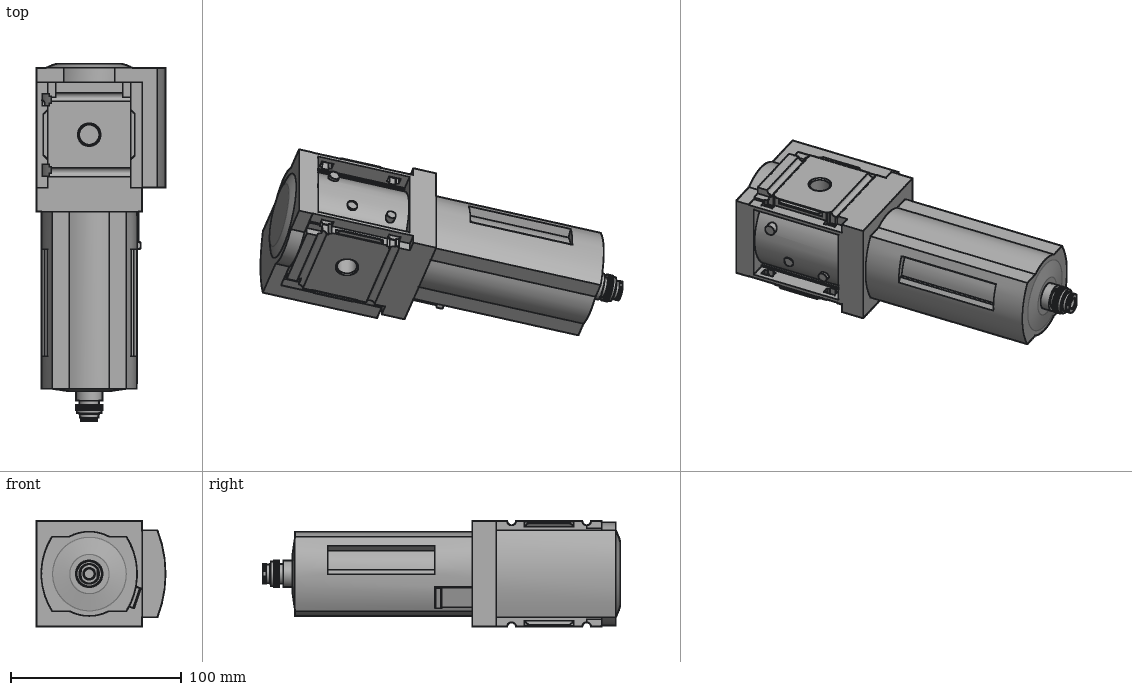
import cadquery as cq
import math


half_width = 31.0
cover_half_height = 25.5
strip_front = 14.0
block_rear = 75.8
head_rear = 84.2
block_half_width = 24.3
strip_step = 0.2

cover_side_edge = 40.0
cover_side_max = 44.8

rib_half_width = 14.9
rib_top = 30.4
dome_radius = 25.3
dome_top_radius = 18.8
dome_height = 2.5
dome_bulge = 0.6

groove_radius = 2.5
groove_places = (23.0, 67.0)
notch_floor = 26.5
notch_half_width = 19.7

clip_slot_outer = 27.6
clip_slot_inner = 23.5
clip_neck_inner = 22.2
clip_slot_length = 7.1
clip_neck_length = 4.0
clip_slot_places = (24.3, 65.5)

lip_reach = 2.5
lip_root = 27.5
lip_edge = 29.7
lip_top = 30.4
lip_cove_across = 0.45
lip_cove_up = 0.55
lip_middle = 45.0
lip_length = 29.0

port_diameter = 11.7
port_chamfer = 0.8
port_depth = 16.7

window_front = 16.3
window_rear = 72.5
window_half_height = 23.0
inner_wall_half_height = 21.0
inner_wall_crown = 29.7
inner_wall_edge = 20.5
wall_ledge_height = 22.5
wall_ledge_reach = 0.8
left_pins = (
    (6.0, 62.2, 11.0, 30.4),
    (6.0, 50.7, -8.5, 28.5),
    (5.5, 27.2, -11.0, 30.4),
)

bowl_length = 103.8
bowl_side = 28.0
bowl_corner_x = 21.8
bowl_flat = 21.8
bowl_barrel_radius = 24.7

sight_front = 84.5
sight_rear = 22.0
sight_floor_radius = 24.3
sight_top = 16.3
sight_floor_top = 13.5
sight_ledge = 2.3
sight_ledge_x = 26.0
sight_bottom = -0.2
sight_overrun = 2.0

slide_angle = -18.7
slide_low = -10.7
slide_high = 1.7
slide_base = 27.2
slide_plate_top = 30.0
slide_bar_top = 31.5
slide_plate_length = 17.8
slide_bar_length = 4.2
slide_bar_chamfer = 0.6

end_cone_radius = 21.5
end_flat_radius = 11.5
end_face = 105.3
stem_steps = (
    (7.85, 110.8),
    (5.9, 113.0),
    (7.85, 113.9),
    (5.9, 114.7),
    (7.85, 115.1),
    (7.3, 115.8),
    (7.85, 116.2),
    (7.3, 118.0),
    (5.9, 118.7),
    (5.55, 120.5),
    (5.75, 121.2),
    (5.0, 121.8),
    (5.75, 122.7),
)
stem_bore_diameter = 6.0
stem_bore_depth = 6.3
stem_bore_chamfer = 0.5
stem_tip_start = 120.5
stem_tip_half_width = 4.8


def box(x, y, z):
    """Box between the two limits given for each axis."""
    size = (x[1] - x[0], y[1] - y[0], z[1] - z[0])
    return cq.Workplane("XY").box(*size, centered=False).translate((x[0], y[0], z[0]))


def along_y(y_start):
    """Sketch plane with local axes X and Z; extrusion runs toward -Y."""
    return cq.Workplane("XZ", origin=(0, y_start, 0))


def both_heights(shape):
    """The shape together with its mirror image below the axis."""
    return shape.union(shape.mirror("XY"))


def both_sides(shape):
    """The shape together with its mirror image across the axis in X."""
    return shape.union(shape.mirror("YZ"))


def head_core():
    front = box((-half_width, half_width), (0, strip_front), (-half_width, half_width))
    block = box(
        (-block_half_width, block_half_width), (strip_front, block_rear), (-half_width, half_width)
    )
    return front.union(block)


def covers():
    """Rear and side cover areas, with the curved outer face on the right."""
    outline = (
        along_y(head_rear)
        .moveTo(-half_width, -cover_half_height)
        .lineTo(cover_side_edge, -cover_half_height)
        .threePointArc((cover_side_max, 0), (cover_side_edge, cover_half_height))
        .lineTo(-half_width, cover_half_height)
        .close()
    )
    return outline.extrude(head_rear - strip_front)


def strip_steps():
    """Shallow cuts that lower the side strips beside the raised block."""
    strip = box(
        (block_half_width, half_width),
        (strip_front, block_rear),
        (cover_half_height - strip_step, cover_half_height),
    )
    return both_sides(both_heights(strip))


def rear_rib():
    profile = (
        along_y(head_rear)
        .moveTo(-rib_half_width, 0)
        .lineTo(-rib_half_width, cover_half_height)
        .threePointArc((0, rib_top), (rib_half_width, cover_half_height))
        .lineTo(rib_half_width, 0)
        .close()
    )
    return both_heights(profile.extrude(head_rear - block_rear))


def dome():
    middle = ((dome_radius + dome_top_radius) / 2, head_rear + dome_bulge * dome_height)
    top = head_rear + dome_height
    profile = (
        cq.Workplane("XY")
        .moveTo(0, head_rear)
        .lineTo(dome_radius, head_rear)
        .threePointArc(middle, (dome_top_radius, top))
        .lineTo(0, top)
        .close()
    )
    return profile.revolve(360, (0, 0, 0), (0, 1, 0))


def lips():
    """Lips with a cove underneath and slanted ends, on all four flank edges."""
    rim = block_half_width + lip_reach
    cove_middle = (
        block_half_width + lip_cove_across * lip_reach,
        lip_root + lip_cove_up * (lip_edge - lip_root),
    )
    section = (
        along_y(lip_middle + lip_length / 2)
        .moveTo(block_half_width, lip_root)
        .threePointArc(cove_middle, (rim, lip_edge))
        .lineTo(rim, lip_top)
        .lineTo(block_half_width, lip_top)
        .close()
        .extrude(lip_length)
    )
    outline = (
        cq.Workplane("XY")
        .moveTo(block_half_width, lip_middle - lip_length / 2)
        .lineTo(rim, lip_middle - lip_length / 2 + lip_reach)
        .lineTo(rim, lip_middle + lip_length / 2 - lip_reach)
        .lineTo(block_half_width, lip_middle + lip_length / 2)
        .close()
        .extrude(half_width)
    )
    return both_sides(both_heights(section.intersect(outline)))


def block_grooves():
    """Round grooves across the block, and the lowered rear corners of the block."""
    cuts = cq.Workplane("XY")
    for y in groove_places:
        groove = (
            cq.Workplane("YZ", origin=(-block_half_width, y, half_width))
            .circle(groove_radius)
            .extrude(2 * block_half_width)
        )
        cuts = cuts.add(groove)
    corner = box(
        (notch_half_width, block_half_width), (groove_places[-1], block_rear), (notch_floor, half_width)
    )
    cuts = cuts.add(both_sides(corner))
    return both_heights(cuts.combine())


def clip_slots():
    """Stepped slots through the left strips and into the block flank."""
    slots = cq.Workplane("XY")
    heights = (window_half_height, half_width)
    for y in clip_slot_places:
        slot_y = (y - clip_slot_length / 2, y + clip_slot_length / 2)
        neck_y = (y - clip_neck_length / 2, y + clip_neck_length / 2)
        slots = slots.add(box((-clip_slot_outer, -clip_slot_inner), slot_y, heights))
        slots = slots.add(box((-clip_slot_outer, -clip_neck_inner), neck_y, heights))
    return both_heights(slots.combine())


def port():
    radius = port_diameter / 2
    profile = (
        cq.Workplane("XZ")
        .moveTo(0, half_width)
        .lineTo(radius + port_chamfer, half_width)
        .lineTo(radius, half_width - port_chamfer)
        .lineTo(radius, half_width - port_depth)
        .lineTo(0, half_width - port_depth)
        .close()
    )
    hole = profile.revolve(360, (0, 0, 0), (0, 1, 0))
    return both_heights(hole.translate((0, lip_middle, 0)))


def left_window():
    """Pocket backed by a curved wall with two raised pins and one pin sunk in a round recess."""
    ledge_x = inner_wall_edge + wall_ledge_reach
    pocket = (
        along_y(window_rear)
        .moveTo(-half_width, -window_half_height)
        .lineTo(-ledge_x, -window_half_height)
        .lineTo(-ledge_x, -wall_ledge_height)
        .lineTo(-inner_wall_edge, -wall_ledge_height)
        .lineTo(-inner_wall_edge, -inner_wall_half_height)
        .threePointArc((-inner_wall_crown, 0), (-inner_wall_edge, inner_wall_half_height))
        .lineTo(-inner_wall_edge, wall_ledge_height)
        .lineTo(-ledge_x, wall_ledge_height)
        .lineTo(-ledge_x, window_half_height)
        .lineTo(-half_width, window_half_height)
        .close()
        .extrude(window_rear - window_front)
    )
    for diameter, y, z, reach in left_pins:
        pin_face = cq.Workplane("YZ", origin=(-reach, y, z))
        clearance = pin_face.circle(diameter / 2).extrude(reach - half_width)
        pin = pin_face.circle(diameter / 2).extrude(reach - inner_wall_edge)
        pocket = pocket.union(clearance).cut(pin)
    return pocket


def make_head():
    head = head_core().union(covers()).cut(strip_steps()).union(rear_rib()).union(dome()).union(lips())
    head = head.cut(block_grooves())
    head = head.cut(left_window())
    head = head.cut(clip_slots())
    return head.cut(port())


def bowl_body():
    sides = (
        along_y(0)
        .moveTo(-bowl_corner_x, -bowl_flat)
        .lineTo(bowl_corner_x, -bowl_flat)
        .threePointArc((bowl_side, 0), (bowl_corner_x, bowl_flat))
        .lineTo(-bowl_corner_x, bowl_flat)
        .threePointArc((-bowl_side, 0), (-bowl_corner_x, -bowl_flat))
        .close()
        .extrude(bowl_length)
    )
    barrel = along_y(0).circle(bowl_barrel_radius).extrude(bowl_length)
    return sides.union(barrel)


def sight_windows():
    """Recesses in both sides with a sloped top, a curved floor, a ledge and a sloped rim."""

    def floor_x(z):
        return math.sqrt(sight_floor_radius**2 - z**2)

    floor_middle = (sight_ledge + sight_floor_top) / 2
    side_sag = (bowl_side - bowl_corner_x) * (sight_top / bowl_flat) ** 2
    top_x = bowl_side - side_sag
    outside = bowl_side + sight_overrun
    profile = (
        along_y(-sight_rear)
        .moveTo(outside, sight_top)
        .lineTo(top_x, sight_top)
        .lineTo(floor_x(sight_floor_top), sight_floor_top)
        .threePointArc((floor_x(floor_middle), floor_middle), (floor_x(sight_ledge), sight_ledge))
        .lineTo(sight_ledge_x, sight_ledge)
        .lineTo(bowl_side, sight_bottom)
        .lineTo(outside, sight_bottom)
        .close()
    )
    return both_sides(profile.extrude(sight_front - sight_rear))


def locking_slide():
    """Plate beside the joint that ends in a raised grip bar."""
    tangent = (slide_low, slide_high)
    bar_end = slide_plate_length + slide_bar_length
    plate = box((slide_base, slide_plate_top), (-slide_plate_length, 0), tangent)
    bar = box((slide_base, slide_bar_top), (-bar_end, -slide_plate_length), tangent)
    bar = bar.faces(">X").edges("|Z").chamfer(slide_bar_chamfer)
    return plate.union(bar).rotate((0, 0, 0), (0, 1, 0), -slide_angle)


def bowl_end_and_stem():
    profile = (
        cq.Workplane("XY")
        .moveTo(0, -bowl_length)
        .lineTo(end_cone_radius, -bowl_length)
        .lineTo(end_flat_radius, -end_face)
    )
    step_start = end_face
    for radius, step_end in stem_steps:
        profile = profile.lineTo(radius, -step_start).lineTo(radius, -step_end)
        step_start = step_end
    bore_radius = stem_bore_diameter / 2
    bore_floor = step_start - stem_bore_depth
    profile = (
        profile.lineTo(bore_radius + stem_bore_chamfer, -step_start)
        .lineTo(bore_radius, -step_start + stem_bore_chamfer)
        .lineTo(bore_radius, -bore_floor)
        .lineTo(0, -bore_floor)
        .close()
    )
    stem = profile.revolve(360, (0, 0, 0), (0, 1, 0))
    beside_tip = box(
        (stem_tip_half_width, end_flat_radius),
        (-step_start, -stem_tip_start),
        (-end_flat_radius, end_flat_radius),
    )
    return stem.cut(both_sides(beside_tip))


def make_bowl():
    bowl = bowl_body().cut(sight_windows())
    return bowl.union(locking_slide()).union(bowl_end_and_stem())


head = make_head()
bowl = make_bowl()
result = cq.Compound.makeCompound([head.val(), bowl.val()])